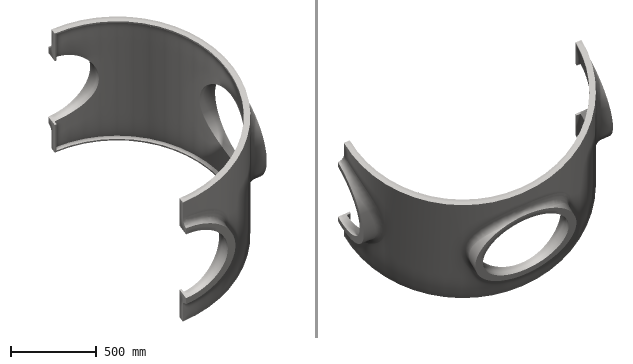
import cadquery as cq

height = 1041.4
shell_outer_diameter = 1549.4
wall = 38.1
shell_inner_diameter = shell_outer_diameter - 2 * wall

recess_depth = 25.4
lip_width = 12.7

nozzle_reach = 812.8
nozzle_bore = 558.8
nozzle_wall = 50.8
nozzle_diameter = nozzle_bore + 2 * nozzle_wall
blend_radius = 50.8

boss_overlength = 100.0
boss_length = nozzle_reach + boss_overlength

NOZZLE_DIRECTIONS = [(-1, 0, 0), (1, 0, 0), (0, 1, 0)]
ORIGIN = (0, 0, 0)


def radial_cylinder(direction, diameter):
    """Cylinder running from the shell axis outwards at mid height."""
    solid = cq.Solid.makeCylinder(diameter / 2, boss_length, cq.Vector(*ORIGIN), cq.Vector(*direction))
    return cq.Workplane(obj=solid)


def blended_blank():
    """Solid cylinder with the three bosses filleted onto it."""
    blank = cq.Workplane().cylinder(height, shell_outer_diameter / 2)
    for direction in NOZZLE_DIRECTIONS:
        blank = blank.union(radial_cylinder(direction, nozzle_diameter))
    return blank.edges("not(%CIRCLE or %LINE)").fillet(blend_radius)


def trim_box():
    """Block from Y = 0 backwards, bounded by the flat nozzle ends."""
    return cq.Workplane().box(2 * nozzle_reach, nozzle_reach, height, centered=(True, False, True))


def shell_bore():
    """Bore running through the full height."""
    return cq.Workplane().cylinder(height, shell_inner_diameter / 2)


def bore_recess():
    """Wider part of the bore, kept one lip width away from both rims and from Y = 0."""
    recess_radius = shell_inner_diameter / 2 + recess_depth
    recess_height = height - 2 * lip_width
    recess = cq.Workplane().cylinder(recess_height, recess_radius)
    return recess.intersect(trim_box().translate((0, lip_width, 0)))


result = blended_blank().intersect(trim_box())
result = result.cut(shell_bore()).cut(bore_recess())
for direction in NOZZLE_DIRECTIONS:
    result = result.cut(radial_cylinder(direction, nozzle_bore))